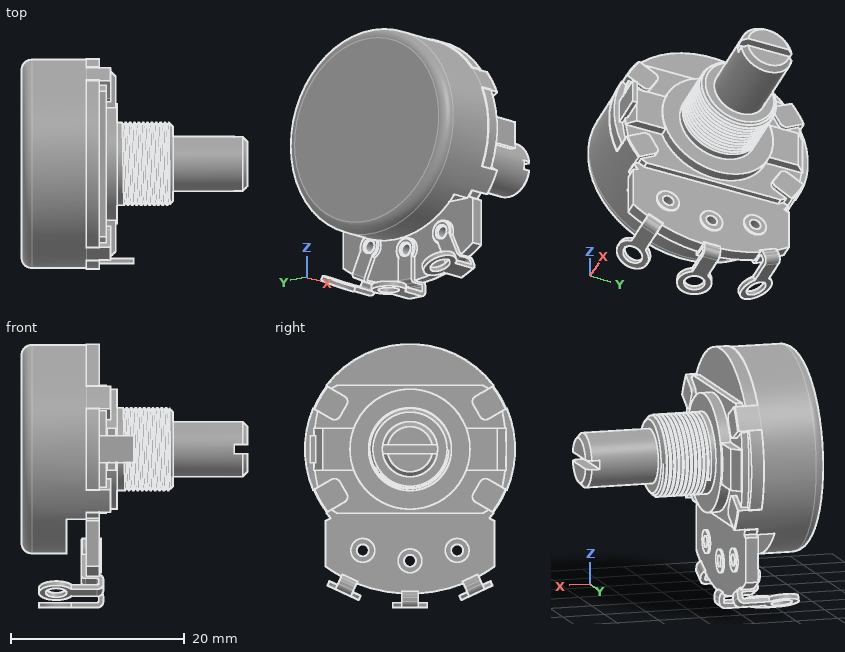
import cadquery as cq
import math


can_radius = 12.0
can_length = 7.45
can_edge_radius = 1.2
can_opening_x = 5.2
can_opening_z = -8.08

board_radius = 12.1
board_thickness = 1.52
board_front_x = can_length + board_thickness
skirt_radius = 16.62
skirt_half_width = 9.72
shoulder_z = -8.22
shoulder_angle = 25.0

cover_thickness = 0.79
cover_front_x = board_front_x + cover_thickness
cover_half_width = 11.08
cover_half_height = 7.37
cover_flat_half_width = 8.35
cover_corner = (9.05, 6.95)
cover_side_end = (10.6, 4.4)

tab_angles = (30, 150, 210, 330)
tab_width = 3.0
tab_thickness = 0.53
tab_inner_radius = 8.85
tab_outer_radius = 12.0
tab_bend_chamfer = 0.1
tab_corner_radius = 0.7

ear_half_length = 11.05
ear_width = 4.85
ear_height = 1.1
ear_chamfer = 1.0

lug_width = 3.1
lug_thickness = 0.6
lug_outer_y = -11.45
lug_end_x = 12.93

flange_diameter = 13.8
flange_front_x = 11.0
bushing_diameter = 9.53
bushing_end_x = 17.45
bushing_chamfer = 0.5
thread_start_x = 11.71
thread_start_angle = 60.0
thread_pitch = 0.5
thread_depth = 0.3
thread_crest = 0.03
thread_clearance = 0.05
thread_overrun = 0.9

shaft_diameter = 6.35
shaft_end_x = 26.0
shaft_chamfer = 0.58
slot_width = 1.04
slot_depth = 1.52

terminal_angles = (-25, 0, 25)
terminal_thickness = 0.575
terminal_width = 1.95
eyelet_z = -12.83
eyelet_diameter = 2.74
eyelet_bore = 1.35
eyelet_chamfer = 0.14
eyelet_head_thickness = 0.19
loop_center_x = 4.0
loop_diameter = 4.0
loop_bore = 2.39
terminal_front_x = 9.44
terminal_bottom_z = -18.22
terminal_pass_z = -16.27
first_bend_radius = 0.45
front_bend_radius = 0.75


def disc(diameter, start_x, end_x):
    """Solid cylinder about the shaft axis."""
    return cq.Workplane("YZ").workplane(offset=start_x).circle(diameter / 2).extrude(end_x - start_x)


def block(x_range, y_range, z_range):
    """Box given by its limits along each axis."""
    lengths = [high - low for low, high in (x_range, y_range, z_range)]
    corner = (x_range[0], y_range[0], z_range[0])
    return cq.Workplane("XY").box(*lengths, centered=False).translate(corner)


def at_corner(x, z):
    """Selector for the edge that runs along Y through the given X and Z."""
    reach = 0.01
    low = (x - reach, -terminal_width, z - reach)
    high = (x + reach, terminal_width, z + reach)
    return cq.selectors.BoxSelector(low, high)


def about_shaft(body, angle):
    """Body turned about the shaft axis by an angle in degrees."""
    return body.rotate((0, 0, 0), (1, 0, 0), angle)


def make_can():
    can = disc(2 * can_radius, 0, can_length).faces("<X").edges().fillet(can_edge_radius)
    opening = block(
        (can_opening_x, can_length),
        (-can_radius, can_radius),
        (-can_radius, can_opening_z),
    )
    return can.cut(opening)


def make_board():
    shoulder_inner_z = shoulder_z + skirt_half_width * math.tan(math.radians(shoulder_angle))
    corner_z = -math.sqrt(skirt_radius**2 - skirt_half_width**2)
    skirt = (
        cq.Workplane("YZ")
        .workplane(offset=can_length)
        .moveTo(0, shoulder_inner_z)
        .lineTo(skirt_half_width, shoulder_z)
        .lineTo(skirt_half_width, corner_z)
        .threePointArc((0, -skirt_radius), (-skirt_half_width, corner_z))
        .lineTo(-skirt_half_width, shoulder_z)
        .close()
        .extrude(board_thickness)
    )
    return disc(2 * board_radius, can_length, board_front_x).union(skirt)


def make_cover():
    side_y, side_z = cover_side_end
    corner_y, corner_z = cover_corner
    cover = (
        cq.Workplane("YZ")
        .workplane(offset=board_front_x)
        .moveTo(-cover_flat_half_width, cover_half_height)
        .lineTo(cover_flat_half_width, cover_half_height)
        .lineTo(corner_y, corner_z)
        .lineTo(side_y, side_z)
        .threePointArc((cover_half_width, 0), (side_y, -side_z))
        .lineTo(corner_y, -corner_z)
        .lineTo(cover_flat_half_width, -cover_half_height)
        .lineTo(-cover_flat_half_width, -cover_half_height)
        .lineTo(-corner_y, -corner_z)
        .lineTo(-side_y, -side_z)
        .threePointArc((-cover_half_width, 0), (-side_y, side_z))
        .lineTo(-corner_y, corner_z)
        .close()
        .extrude(cover_thickness)
    )
    ears = block(
        (cover_front_x, cover_front_x + ear_height),
        (-ear_half_length, ear_half_length),
        (-ear_width / 2, ear_width / 2),
    )
    ears = ears.faces(">X").edges("|Z").chamfer(ear_chamfer)
    return cover.union(ears)


def make_lug():
    """Blade that stands forward from the rim of the cover."""
    z_range = (-lug_width / 2, lug_width / 2)
    blade = block((board_front_x, lug_end_x), (lug_outer_y, lug_outer_y + lug_thickness), z_range)
    root = block((board_front_x, cover_front_x), (lug_outer_y, 0), z_range)
    return blade.union(root)


def cut_tab_seat(board, angle):
    """Trim the board rim back to the tab face."""
    half_width = tab_width / 2
    seat = block((can_length, board_front_x), (0, board_radius), (-half_width, half_width))
    seat = seat.cut(disc(2 * tab_outer_radius, can_length, board_front_x))
    return board.cut(about_shaft(seat, angle))


def make_tab(angle):
    """Finger of the can that crosses the board rim and folds inward over the cover."""
    half_width = tab_width / 2
    tab_front_x = cover_front_x + tab_thickness
    tab = block((can_length, tab_front_x), (tab_inner_radius, tab_outer_radius), (-half_width, half_width))
    tab = tab.edges("<Y and |X").fillet(tab_corner_radius)
    rim = disc(2 * tab_outer_radius, can_length, tab_front_x)
    rim = rim.faces(">X").edges().chamfer(tab_bend_chamfer)
    return about_shaft(tab.intersect(rim), angle)


def make_bushing():
    flange = disc(flange_diameter, cover_front_x, flange_front_x)
    barrel = disc(bushing_diameter, flange_front_x, bushing_end_x)
    barrel = barrel.faces(">X").edges().chamfer(bushing_chamfer)
    return flange.union(barrel.cut(make_thread_groove()))


def make_thread_groove():
    """Triangular helical groove that runs out through the front of the bushing."""
    outer_radius = bushing_diameter / 2
    mouth_radius = outer_radius + thread_clearance
    half_mouth = (thread_pitch - thread_crest) / 2
    helix = cq.Wire.makeHelix(
        thread_pitch,
        bushing_end_x - thread_start_x + thread_overrun,
        outer_radius,
    )
    groove = (
        cq.Workplane("XZ")
        .moveTo(outer_radius - thread_depth, 0)
        .lineTo(mouth_radius, half_mouth)
        .lineTo(mouth_radius, -half_mouth)
        .close()
        .sweep(cq.Workplane(obj=helix), isFrenet=True)
    )
    groove = groove.rotate((0, 0, 0), (0, 1, 0), 90).translate((thread_start_x, 0, 0))
    return about_shaft(groove, thread_start_angle)


def make_shaft():
    shaft = disc(shaft_diameter, bushing_end_x, shaft_end_x)
    shaft = shaft.faces(">X").edges().chamfer(shaft_chamfer)
    slot = block(
        (shaft_end_x - slot_depth, shaft_end_x),
        (-shaft_diameter, shaft_diameter),
        (-slot_width / 2, slot_width / 2),
    )
    return shaft.cut(slot)


def make_terminal():
    """Strip bent under the board edge and back, with an eyelet above and a solder loop below."""
    strap_back_x = can_length - terminal_thickness
    pass_bottom_z = terminal_pass_z - terminal_thickness
    loop_top_z = terminal_bottom_z + terminal_thickness
    inner_front_x = terminal_front_x - terminal_thickness
    front_bend_inner = front_bend_radius - terminal_thickness
    strip = (
        cq.Workplane("XZ")
        .moveTo(can_length, eyelet_z)
        .lineTo(can_length, terminal_pass_z)
        .lineTo(terminal_front_x, terminal_pass_z)
        .lineTo(terminal_front_x, terminal_bottom_z)
        .lineTo(loop_center_x, terminal_bottom_z)
        .lineTo(loop_center_x, loop_top_z)
        .lineTo(inner_front_x, loop_top_z)
        .lineTo(inner_front_x, pass_bottom_z)
        .lineTo(strap_back_x, pass_bottom_z)
        .lineTo(strap_back_x, eyelet_z)
        .close()
        .extrude(terminal_width / 2, both=True)
    )
    strip = strip.edges(at_corner(strap_back_x, pass_bottom_z)).fillet(first_bend_radius)
    for outer_z, inner_z in ((terminal_pass_z, pass_bottom_z), (terminal_bottom_z, loop_top_z)):
        strip = strip.edges(at_corner(terminal_front_x, outer_z)).fillet(front_bend_radius)
        strip = strip.edges(at_corner(inner_front_x, inner_z)).fillet(front_bend_inner)
    loop_plane = cq.Workplane("XY").workplane(offset=terminal_bottom_z).center(loop_center_x, 0)
    loop = loop_plane.circle(loop_diameter / 2).extrude(terminal_thickness)
    loop_hole = loop_plane.circle(loop_bore / 2).extrude(terminal_thickness)
    eyelet = disc(eyelet_diameter, strap_back_x, can_length)
    eyelet = eyelet.faces("<X").edges().chamfer(eyelet_chamfer)
    head = disc(eyelet_diameter, board_front_x, board_front_x + eyelet_head_thickness)
    eyelet = eyelet.union(head).translate((0, 0, eyelet_z))
    return strip.union(loop).cut(loop_hole).union(eyelet)


def make_eyelet_bore():
    start_x = can_length - terminal_thickness
    bore = disc(eyelet_bore, start_x, board_front_x + eyelet_head_thickness)
    countersink = disc(eyelet_bore + 2 * eyelet_chamfer, start_x, start_x + 2 * eyelet_chamfer)
    countersink = countersink.faces(">X").edges().chamfer(eyelet_chamfer)
    return bore.union(countersink).translate((0, 0, eyelet_z))


board = make_board()
for tab_angle in tab_angles:
    board = cut_tab_seat(board, tab_angle)

result = make_can().union(board).union(make_cover()).union(make_lug())
for tab_angle in tab_angles:
    result = result.union(make_tab(tab_angle))
result = result.union(make_bushing()).union(make_shaft())
for terminal_angle in terminal_angles:
    result = result.union(about_shaft(make_terminal(), terminal_angle))
    result = result.cut(about_shaft(make_eyelet_bore(), terminal_angle))